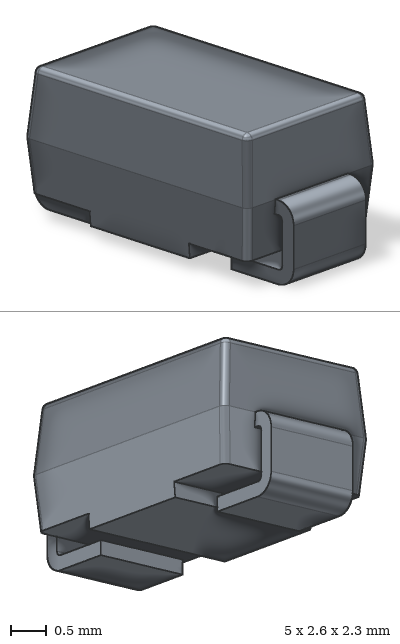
import cadquery as cq
import math

total_length = 5.0
total_height = 2.3

body_length = 4.3
body_width = 2.6
parting_z = 1.25
draft_angle = 5.0
edge_radius = 0.1
body_bottom_z = 0.425

pedestal_length = 1.91
pedestal_bottom_z = 0.2

lead_width = 1.46
lead_thickness = 0.22
lead_outer_radius = 0.3
lead_inner_radius = lead_outer_radius - lead_thickness
foot_length = 1.2
lead_embed = 0.2


def drafted_half(height):
    """Half of the body, tapering away from the parting plane; a negative height goes down."""
    return (
        cq.Workplane("XY")
        .workplane(offset=parting_z)
        .rect(body_length, body_width)
        .extrude(height, taper=draft_angle)
    )


def is_corner_edge(edge):
    """True for the four slanted edges that join the parting plane to the end face."""
    return edge.BoundingBox().zlen > edge_radius


def round_corners(half):
    corner_edges = [edge for edge in half.edges().vals() if is_corner_edge(edge)]
    return half.newObject(corner_edges).fillet(edge_radius)


def make_body():
    upper = round_corners(drafted_half(total_height - parting_z))
    upper = upper.faces(">Z").edges().fillet(edge_radius)

    lower = round_corners(drafted_half(pedestal_bottom_z - parting_z))
    end_cut_length = (body_length - pedestal_length) / 2
    end_cut_x = (body_length + pedestal_length) / 4
    end_cut = (
        cq.Workplane("XY")
        .pushPoints([(-end_cut_x, 0), (end_cut_x, 0)])
        .rect(end_cut_length, body_width)
        .extrude(body_bottom_z)
    )
    return upper.union(lower.cut(end_cut))


def make_left_lead():
    outer_x = -total_length / 2
    inner_x = outer_x + lead_thickness
    foot_end_x = outer_x + foot_length
    arm_end_x = -body_length / 2 + lead_embed
    outer_bend_x = outer_x + lead_outer_radius
    arm_underside_z = parting_z - lead_thickness

    outer_mid = lead_outer_radius * math.sqrt(0.5)
    inner_mid = lead_inner_radius * math.sqrt(0.5)
    upper_centre_z = parting_z - lead_outer_radius
    lower_centre_z = lead_outer_radius

    return (
        cq.Workplane("XZ")
        .moveTo(arm_end_x, parting_z)
        .lineTo(outer_bend_x, parting_z)
        .threePointArc((outer_bend_x - outer_mid, upper_centre_z + outer_mid), (outer_x, upper_centre_z))
        .lineTo(outer_x, lower_centre_z)
        .threePointArc((outer_bend_x - outer_mid, lower_centre_z - outer_mid), (outer_bend_x, 0))
        .lineTo(foot_end_x, 0)
        .lineTo(foot_end_x, lead_thickness)
        .lineTo(outer_bend_x, lead_thickness)
        .threePointArc((outer_bend_x - inner_mid, lower_centre_z - inner_mid), (inner_x, lower_centre_z))
        .lineTo(inner_x, upper_centre_z)
        .threePointArc((outer_bend_x - inner_mid, upper_centre_z + inner_mid), (outer_bend_x, arm_underside_z))
        .lineTo(arm_end_x, arm_underside_z)
        .close()
        .extrude(lead_width / 2, both=True)
    )


left_lead = make_left_lead()
right_lead = left_lead.mirror("YZ")
result = make_body().union(left_lead).union(right_lead)